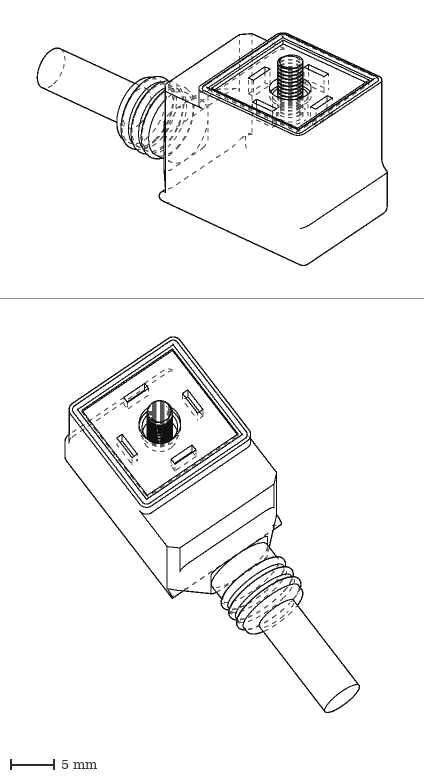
import cadquery as cq


length = 44.6
width = 15.6
half_width = width / 2
edge_radius = 1.0
nose_x = 23.73
front_x = nose_x - edge_radius
nose_top_z = 2 * edge_radius
shoulder_z = 16.0
wall_step = 0.8
wall_x = length - wall_step
step_low_z = 5.95
step_high_z = 7.25

plug_x = wall_x - half_width
plug_z = 18.3
bead_inset = 0.4
bead_width = 0.6
bead_height = bead_width / 2
recess_inset = 1.35
recess_depth = 0.55
floor_z = plug_z - recess_depth
slot_length = 3.0
slot_width = 0.75
slot_depth = 2.25
slot_offset = 4.7

bore_radius = 2.4
bore_depth = 1.05
inner_bore_radius = 2.05
inner_bore_depth = 2.68
seat_z = floor_z - bore_depth - inner_bore_depth

axis_z = 5.0
cable_radius = 2.5
sleeve_radius = 4.0
sleeve_x = 12.95
sleeve_round = 0.55
neck_x = 20.3
ring_radius = 0.5
ring_pitch = 1.5
first_ring_x = 14.5
ring_count = 3

screw_top_z = 21.5
screw_radius = 1.45
thread_depth = 0.3
thread_pitch = 0.5
thread_turns = 15
groove_mouth = 0.4
groove_overshoot = 0.1


def make_shell():
    """Full-width part of the housing, with a stepped rear wall and rounded lower and rear edges."""
    arc_radius = (wall_step**2 + (step_high_z - step_low_z) ** 2) / (2 * wall_step)
    shell = (
        cq.Workplane("XZ", origin=(0, half_width, 0))
        .moveTo(nose_x, 0)
        .lineTo(length, 0)
        .lineTo(length, step_low_z)
        .radiusArc((wall_x, step_high_z), arc_radius)
        .lineTo(wall_x, shoulder_z)
        .lineTo(nose_x, shoulder_z)
        .close()
        .extrude(width)
    )
    shell = shell.edges("(>X and |Z) or (|Z and (not <X))").fillet(edge_radius)
    return shell.faces("<Z").edges("not <X").fillet(edge_radius)


def make_nose():
    """Half-round lower front edge, with the bottom corner rounding of the shell carried through it."""
    roll = (
        cq.Workplane("XZ", origin=(nose_x, half_width, edge_radius))
        .circle(edge_radius)
        .extrude(width)
    )
    cross_section = (
        cq.Workplane("XY")
        .box(2 * edge_radius, width, 2 * nose_top_z, centered=(True, True, False))
        .translate((nose_x, 0, 0))
        .edges("|X and <Z")
        .fillet(edge_radius)
    )
    return roll.intersect(cross_section)


def make_neck():
    """Tapered neck from the sleeve to the full housing width, and the front wall above it."""
    taper = (half_width - sleeve_radius) / (nose_x - neck_x)
    front_half = sleeve_radius + taper * (front_x - neck_x)

    def wedge(start_x, start_half, bottom_z, top_z):
        outline = [(start_x, -start_half), (nose_x, -half_width), (nose_x, half_width), (start_x, start_half)]
        return cq.Workplane("XY", origin=(0, 0, bottom_z)).polyline(outline).close().extrude(top_z - bottom_z)

    neck = wedge(neck_x, sleeve_radius, axis_z - sleeve_radius, axis_z + sleeve_radius)
    neck = neck.edges("#Z and (not |Y)").fillet(edge_radius)
    return neck.union(wedge(front_x, front_half, axis_z, shoulder_z))


def square_prism(side, bottom_z, height):
    """Square prism centred on the plug axis."""
    return cq.Workplane("XY", origin=(plug_x, 0, bottom_z)).rect(side, side).extrude(height)


def plug_cylinder(radius, bottom_z, top_z):
    """Cylinder on the plug axis."""
    return cq.Workplane("XY", origin=(plug_x, 0, bottom_z)).circle(radius).extrude(top_z - bottom_z)


def make_bead_side():
    """Half-round bead along the +X side of the plug block, with the rounded corner at its +Y end."""
    inner_half = half_width - bead_inset - bead_width

    def half_round(start_y):
        return (
            cq.Workplane("XZ", origin=(plug_x + inner_half, start_y, plug_z))
            .moveTo(0, 0)
            .lineTo(bead_width, 0)
            .threePointArc((bead_width / 2, bead_height), (0, 0))
            .close()
        )

    corner = half_round(inner_half).revolve(90, (0, 0), (0, 1))
    return half_round(inner_half).extrude(2 * inner_half).union(corner)


def make_plug_block():
    """Square block above the shoulder, topped by a rounded sealing bead."""
    block_bottom_z = shoulder_z - edge_radius
    block = square_prism(width, block_bottom_z, plug_z - block_bottom_z).edges("|Z").fillet(edge_radius)
    bead_side = make_bead_side()
    for quarter_turn in range(4):
        block = block.union(bead_side.rotate((plug_x, 0, 0), (plug_x, 0, 1), 90 * quarter_turn))
    return block


def make_face_cuts():
    """Recessed plug floor, the stepped screw bore and four contact slots."""
    cuts = square_prism(width - 2 * recess_inset, floor_z, recess_depth + bead_height)
    cuts = cuts.union(plug_cylinder(bore_radius, floor_z - bore_depth, floor_z))
    cuts = cuts.union(plug_cylinder(inner_bore_radius, seat_z, floor_z))
    slots = (
        cq.Workplane("XY", origin=(plug_x, 0, floor_z - slot_depth))
        .polarArray(slot_offset, 0, 360, 4)
        .rect(slot_width, slot_length)
        .extrude(slot_depth)
    )
    return cuts.union(slots)


def x_cylinder(radius, start_x, end_x):
    """Cylinder on the cable axis."""
    return cq.Workplane("YZ", origin=(start_x, 0, axis_z)).circle(radius).extrude(end_x - start_x)


def make_cable_entry():
    """Cable with its sleeve and the strain-relief rings."""
    entry = x_cylinder(sleeve_radius, sleeve_x, neck_x).faces("<X").edges().fillet(sleeve_round)
    for i in range(ring_count):
        ring_x = first_ring_x + i * ring_pitch
        ring = cq.Solid.makeTorus(
            sleeve_radius, ring_radius, cq.Vector(ring_x, 0, axis_z), cq.Vector(1, 0, 0)
        )
        entry = entry.union(cq.Workplane(ring))
    return entry.union(x_cylinder(cable_radius, 0, sleeve_x))


def make_housing():
    """Moulded housing in one piece with its cable."""
    housing = make_shell().union(make_nose()).union(make_neck()).union(make_plug_block())
    return housing.union(make_cable_entry()).cut(make_face_cuts())


def make_screw():
    """Screw standing on the bore seat, its helical thread running out through the top face."""
    blank = plug_cylinder(screw_radius, seat_z, screw_top_z + 2 * thread_pitch)
    root_radius = screw_radius - thread_depth
    mouth_radius = screw_radius + groove_overshoot
    half_mouth = groove_mouth / 2 * (mouth_radius - root_radius) / thread_depth
    thread_start_z = screw_top_z - (thread_turns - 0.5) * thread_pitch
    path = cq.Wire.makeHelix(thread_pitch, thread_turns * thread_pitch, root_radius)
    groove = (
        cq.Workplane("XZ")
        .polyline([(root_radius, 0), (mouth_radius, half_mouth), (mouth_radius, -half_mouth)])
        .close()
        .sweep(cq.Workplane(path), isFrenet=True)
        .translate((plug_x, 0, thread_start_z))
    )
    surplus = plug_cylinder(2 * screw_radius, screw_top_z, screw_top_z + 3 * thread_pitch)
    return blank.cut(groove).cut(surplus)


housing = make_housing()
screw = make_screw()

result = cq.Compound.makeCompound([housing.solids().val(), screw.solids().val()])